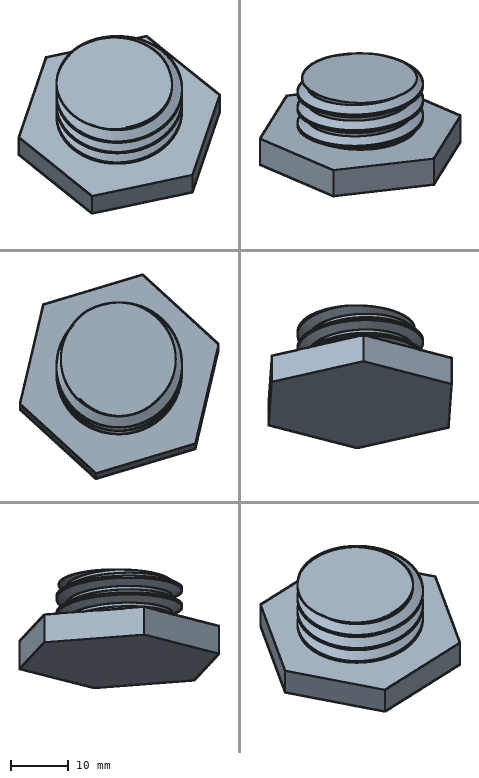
import cadquery as cq
import math

across_corners = 36
head_height = 5.0

major_diameter = 21.78
root_diameter = 18.32
thread_length = 9
full_turns = 3
pitch = thread_length / full_turns
crest_width = pitch / 8
flank_angle = 30
crest_height_on_x = 1.3
spare_turns_below = 2
spare_turns = 3
root_overlap = 0.1


def make_head():
    return cq.Workplane("XY").polygon(6, across_corners).extrude(head_height)


def make_ridge():
    """Helical ridge running more than one pitch past both ends of the thread."""
    crest_radius = major_diameter / 2
    base_radius = root_diameter / 2 - root_overlap
    flank_rise = (crest_radius - base_radius) * math.tan(math.radians(flank_angle))
    half_crest = crest_width / 2
    half_base = half_crest + flank_rise

    start_height = head_height + crest_height_on_x - spare_turns_below * pitch
    helix_length = (full_turns + spare_turns) * pitch
    helix = cq.Wire.makeHelix(pitch, helix_length, base_radius)
    ridge = (
        cq.Workplane("XZ")
        .moveTo(base_radius, -half_base)
        .lineTo(crest_radius, -half_crest)
        .lineTo(crest_radius, half_crest)
        .lineTo(base_radius, half_base)
        .close()
        .sweep(cq.Workplane(obj=helix), isFrenet=True)
    )
    return ridge.translate((0, 0, start_height))


def make_threaded_stud():
    spare_length = spare_turns * pitch
    core = (
        cq.Workplane("XY")
        .workplane(offset=head_height - spare_length)
        .circle(root_diameter / 2)
        .extrude(thread_length + 2 * spare_length)
    )
    slab = (
        cq.Workplane("XY")
        .workplane(offset=head_height)
        .rect(across_corners, across_corners)
        .extrude(thread_length)
    )
    return core.union(make_ridge()).intersect(slab)


result = make_head().union(make_threaded_stud())